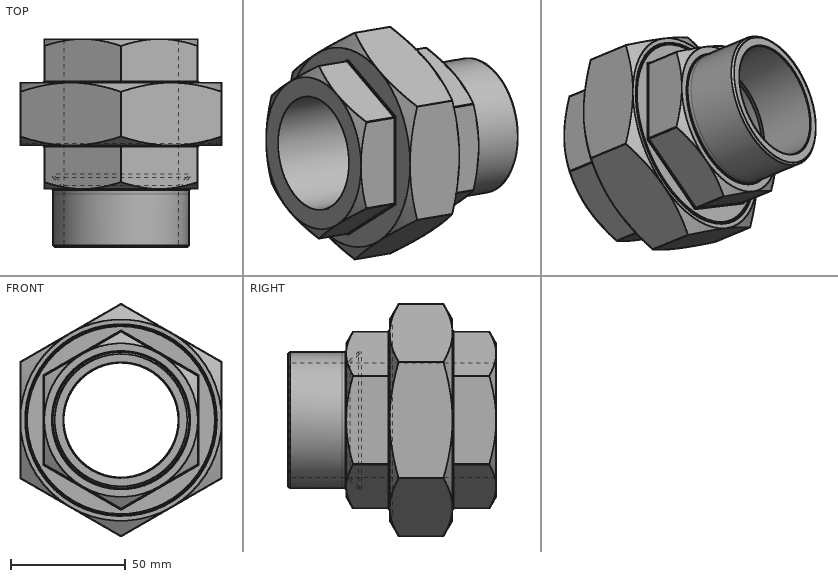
import cadquery as cq
import math


hex_front_y = 25.5
nut_front_y = 44.5
nut_rear_y = 71.9
total_length = 91.0

nut_across_flats = 88.0
nut_across_corners = 101.5
hex_across_flats = 67.1
hex_across_corners = 77.3
corner_chamfer_angle = 30.0
root_flare_width = 0.4
root_flare_length = 0.6
root_flare_bevel = 0.4

tail_diameter = 59.6
tail_end_diameter = 57.9
tail_chamfer_length = 0.9
neck_start_y = 23.5
neck_end_y = 25.0
neck_diameter = 59.8
neck_root_diameter = 60.6

bore_diameter = 50.0
bore_mouth_diameter = 50.7
bore_mouth_depth = 0.3

seat_y = 25.7
seat_width = 1.4
seat_angle = 45.0
seat_outer_diameter = 60.0

flange_face_diameter = 82.0
gap_inner_diameter = 82.6
gap_outer_diameter = 83.5
gap_mouth_diameter = 84.0
gap_depth = 1.0
nut_bevel = (gap_mouth_diameter - gap_outer_diameter) / 2
flange_bevel = (gap_inner_diameter - flange_face_diameter) / 2


def hex_prism(across_flats, y_start, y_end):
    """Sharp-cornered hexagonal prism along +Y with corners at the top and bottom."""
    sharp_across_corners = across_flats / math.cos(math.radians(30))
    return (
        cq.Workplane("XZ", origin=(0, y_start, 0))
        .transformed(rotate=(0, 0, 90))
        .polygon(6, sharp_across_corners)
        .extrude(y_start - y_end)
    )


def revolve_profile(points):
    """Solid of revolution about Y from (radius, y) points."""
    return cq.Workplane("XY").polyline(points).close().revolve(360, (0, 0, 0), (0, 1, 0))


def corner_envelope(across_flats, across_corners, y_start, y_end, chamfer_start, chamfer_end):
    """Round body that blunts the corners of a hexagon and bevels its ends."""
    flat_radius = across_flats / 2
    outer_radius = across_corners / 2
    cone_length = (outer_radius - flat_radius) * math.tan(math.radians(corner_chamfer_angle))
    points = [(0, y_start)]
    if chamfer_start:
        points += [(flat_radius, y_start), (outer_radius, y_start + cone_length)]
    else:
        points += [(outer_radius, y_start)]
    if chamfer_end:
        points += [(outer_radius, y_end - cone_length), (flat_radius, y_end)]
    else:
        points += [(outer_radius, y_end)]
    points += [(0, y_end)]
    return revolve_profile(points)


def chamfered_hex(across_flats, across_corners, y_start, y_end, chamfer_start=True, chamfer_end=True):
    """Wrench hexagon with conical corner chamfers on the chosen ends."""
    envelope = corner_envelope(across_flats, across_corners, y_start, y_end, chamfer_start, chamfer_end)
    return hex_prism(across_flats, y_start, y_end).intersect(envelope)


def root_flare(y_nut_face, direction):
    """Bevelled collar where a small hex meets the nut face."""
    collar_flats = hex_across_flats + 2 * root_flare_width
    y_outer = y_nut_face + direction * root_flare_length
    collar = hex_prism(collar_flats, min(y_nut_face, y_outer), max(y_nut_face, y_outer))
    outer_face = ">Y" if direction > 0 else "<Y"
    rim = collar.faces(outer_face).edges()
    return rim.chamfer(root_flare_bevel)


def tail():
    """Round tail with a bevelled end and a short neck widening into the front hex."""
    return revolve_profile([
        (0, 0),
        (tail_end_diameter / 2, 0),
        (tail_diameter / 2, tail_chamfer_length),
        (tail_diameter / 2, neck_start_y),
        (neck_diameter / 2, neck_end_y),
        (neck_root_diameter / 2, hex_front_y),
        (0, hex_front_y),
    ])


def bore():
    """Straight through bore with a small bevel at the tail mouth."""
    return revolve_profile([
        (0, 0),
        (bore_mouth_diameter / 2, 0),
        (bore_diameter / 2, bore_mouth_depth),
        (bore_diameter / 2, total_length),
        (0, total_length),
    ])


def seat_gap():
    """Thin gap between the two conical seats, open to the bore."""
    bore_radius = bore_diameter / 2
    outer_radius = seat_outer_diameter / 2
    seat_length = (outer_radius - bore_radius) / math.tan(math.radians(seat_angle))
    return revolve_profile([
        (bore_radius, seat_y),
        (outer_radius, seat_y + seat_length),
        (outer_radius, seat_y + seat_length + seat_width),
        (bore_radius, seat_y + seat_width),
    ])


def nut_gap():
    """Ring gap with both of its rims bevelled."""
    return revolve_profile([
        (gap_inner_diameter / 2, nut_front_y + flange_bevel),
        (flange_face_diameter / 2, nut_front_y),
        (gap_mouth_diameter / 2, nut_front_y),
        (gap_outer_diameter / 2, nut_front_y + nut_bevel),
        (gap_outer_diameter / 2, nut_front_y + gap_depth),
        (gap_inner_diameter / 2, nut_front_y + gap_depth),
    ])


nut = chamfered_hex(nut_across_flats, nut_across_corners, nut_front_y, nut_rear_y)
front_hex = chamfered_hex(hex_across_flats, hex_across_corners, hex_front_y, nut_front_y, chamfer_end=False)
rear_hex = chamfered_hex(hex_across_flats, hex_across_corners, nut_rear_y, total_length, chamfer_start=False)

result = (
    nut.union(front_hex)
    .union(rear_hex)
    .union(root_flare(nut_front_y, -1))
    .union(root_flare(nut_rear_y, 1))
    .union(tail())
    .cut(bore())
    .cut(seat_gap())
    .cut(nut_gap())
)